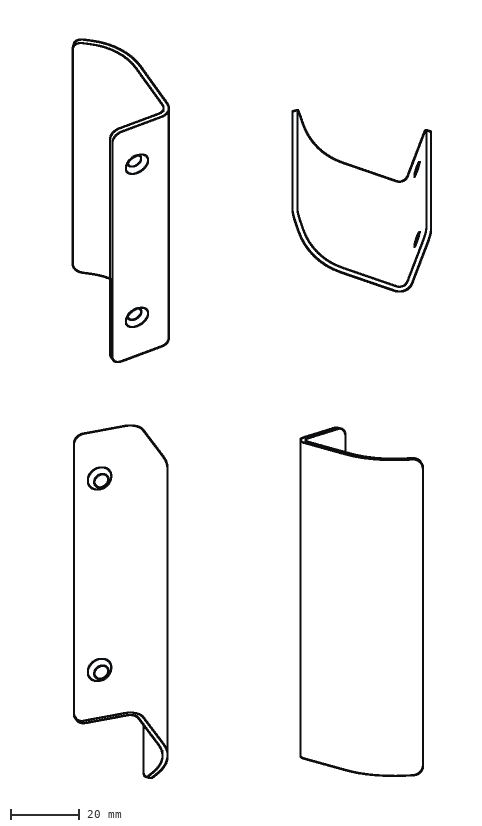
import cadquery as cq
import math

width = 40.0
depth = 20.0
height = 96.0
sheet = 1.5

corner_radius = 4.0
curve_radius = 20.0
curve_angle = math.radians(52.0)
lip_length = 5.55

edge_radius = 3.0
hole_diameter = 4.3
countersink_angle = math.radians(90.0)
hole_from_back = 12.0
hole_from_end = 16.0

flange_x = width / 2
back_y = depth / 2
front_y = -depth / 2
half_height = height / 2

curve_x = -width / 2 + curve_radius * math.sin(curve_angle) + lip_length * math.cos(curve_angle)
curve_y = back_y - curve_radius


def curve_point(radius, angle):
    """Point on the wide curve, with the angle measured from its tangent with the back."""
    return (curve_x - radius * math.sin(angle), curve_y + radius * math.cos(angle))


def lip_tip(radius):
    """End of the straight lip that leaves the wide curve of the given radius."""
    x, y = curve_point(radius, curve_angle)
    return (x - lip_length * math.cos(curve_angle), y - lip_length * math.sin(curve_angle))


def corner_middle(radius):
    """Midpoint of the corner bend arc of the given radius."""
    offset = radius * math.sqrt(0.5)
    return (flange_x - corner_radius + offset, back_y - corner_radius + offset)


def bent_sheet():
    inner_corner = corner_radius - sheet
    inner_curve = curve_radius - sheet
    bend_x = flange_x - corner_radius
    bend_y = back_y - corner_radius
    profile = (
        cq.Workplane("XY", origin=(0, 0, -half_height))
        .moveTo(flange_x, front_y)
        .lineTo(flange_x, bend_y)
        .threePointArc(corner_middle(corner_radius), (bend_x, back_y))
        .lineTo(curve_x, back_y)
        .threePointArc(curve_point(curve_radius, curve_angle / 2), curve_point(curve_radius, curve_angle))
        .lineTo(*lip_tip(curve_radius))
        .lineTo(*lip_tip(inner_curve))
        .lineTo(*curve_point(inner_curve, curve_angle))
        .threePointArc(curve_point(inner_curve, curve_angle / 2), (curve_x, back_y - sheet))
        .lineTo(bend_x, back_y - sheet)
        .threePointArc(corner_middle(inner_corner), (flange_x - sheet, bend_y))
        .lineTo(flange_x - sheet, front_y)
        .close()
    )
    return profile.extrude(height)


def round_sheet_corners(body):
    """Round the four free corners: both ends of the flange edge and of the lip edge."""
    outer_x, outer_y = lip_tip(curve_radius)
    inner_x, inner_y = lip_tip(curve_radius - sheet)
    lip_edge = ((outer_x + inner_x) / 2, (outer_y + inner_y) / 2)
    flange_edge = (flange_x - sheet / 2, front_y)
    for z in (-half_height, half_height):
        for x, y in (lip_edge, flange_edge):
            nearest = cq.selectors.NearestToPointSelector((x, y, z))
            body = body.edges(nearest).fillet(edge_radius)
    return body


def countersunk_hole(z):
    """Cone through the flange at height z that widens from the inner face to the outer face."""
    inner_radius = hole_diameter / 2
    outer_radius = inner_radius + sheet * math.tan(countersink_angle / 2)
    start = cq.Vector(flange_x - sheet, back_y - hole_from_back, z)
    return cq.Workplane(cq.Solid.makeCone(inner_radius, outer_radius, sheet, start, cq.Vector(1, 0, 0)))


hole_z = half_height - hole_from_end
result = round_sheet_corners(bent_sheet())
for z in (-hole_z, hole_z):
    result = result.cut(countersunk_hole(z))